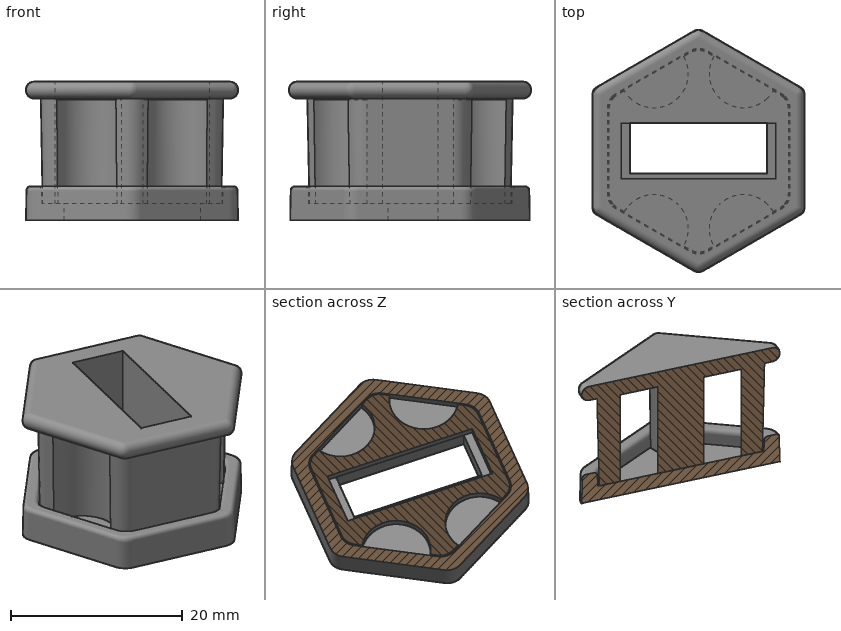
import cadquery as cq
import math

across_corners = 28.28
total_height = 16.2
sides = 6
side_angle = 360 / sides
cos_half_side = math.cos(math.pi / sides)
draft = 1.0
corner_radius = 1.98

base_height = 4.0
floor_thickness = 2.0
rim_fillet = 0.5
plug_clearance = 0.1
floor_slot_length = 15.95
floor_slot_front = -2.6

flange_thickness = 2.0
plug_across_flats = 21.3
window_length = 18.05
window_width = 6.5
scallop_radius = 4.0
scallop_angles = (60, 120, 240, 300)
scallop_top_gap = 0.15

floor_slot_back = window_width / 2
flange_edge_radius = flange_thickness / 2
corner_sphere_distance = across_corners / 2 - flange_edge_radius
across_flats = 2 * (corner_sphere_distance * cos_half_side + flange_edge_radius)
flange_bottom = total_height - flange_thickness
plug_length = flange_bottom - floor_thickness
plug_tip_across_flats = plug_across_flats - 2 * plug_length * math.tan(math.radians(draft))


def hexagon(flats, z):
    """Hexagon at height z with vertices along Y."""
    diameter = flats / cos_half_side
    return cq.Workplane("XY", origin=(0, 0, z)).transformed(rotate=(0, 0, 90)).polygon(sides, diameter)


def drafted_prism(wide_flats, wide_z, narrow_z):
    """Hexagonal prism narrowing from wide_z to narrow_z, with rounded upright corners."""
    rise = narrow_z - wide_z
    narrow_flats = wide_flats - 2 * abs(rise) * math.tan(math.radians(draft))
    narrow_diameter = narrow_flats / cos_half_side
    prism = hexagon(wide_flats, wide_z).workplane(offset=rise).polygon(sides, narrow_diameter).loft(ruled=True)
    return prism.edges("not(<Z or >Z)").fillet(corner_radius)


def make_base():
    """Hexagonal cup with a slot through its floor."""
    cup = drafted_prism(across_flats, 0, base_height)
    cavity = drafted_prism(plug_across_flats + 2 * plug_clearance, flange_bottom, floor_thickness)
    cup = cup.cut(cavity)
    cup = cup.faces(">Z").edges().fillet(rim_fillet)

    slot_width = floor_slot_back - floor_slot_front
    slot_center = (floor_slot_back + floor_slot_front) / 2
    slot = cq.Workplane("XY").center(0, slot_center).rect(floor_slot_length, slot_width)
    return cup.cut(slot.extrude(base_height))


def make_flange():
    """Hexagonal plate whose edge is fully rounded: a rod along each side, a ball at each corner."""
    core_flats = across_flats - 2 * flange_edge_radius
    flange = hexagon(core_flats, flange_bottom).extrude(flange_thickness)
    middle_z = total_height - flange_edge_radius
    for index in range(sides):
        angle = math.radians(side_angle * (index + 0.5))
        corner = cq.Vector(
            corner_sphere_distance * math.cos(angle),
            corner_sphere_distance * math.sin(angle),
            middle_z,
        )
        side_normal = angle + math.pi / sides
        along_side = cq.Vector(-math.sin(side_normal), math.cos(side_normal), 0)
        rod = cq.Solid.makeCylinder(flange_edge_radius, corner_sphere_distance, corner, along_side)
        ball = cq.Workplane("XY", origin=corner.toTuple()).sphere(flange_edge_radius)
        flange = flange.union(cq.Workplane(rod)).union(ball)
    return flange


def make_lid():
    """Round-edged flange on a drafted plug with a window and four scallops."""
    flange = make_flange()
    plug = drafted_prism(plug_across_flats, flange_bottom, floor_thickness)
    lid = flange.union(plug)

    window = cq.Workplane("XY").rect(window_length, window_width).extrude(total_height)
    lid = lid.cut(window)

    facet_distance = plug_tip_across_flats / 2
    scallop_height = plug_length - scallop_top_gap
    for angle in scallop_angles:
        x = facet_distance * math.cos(math.radians(angle))
        y = facet_distance * math.sin(math.radians(angle))
        scallop = cq.Workplane("XY", origin=(x, y, floor_thickness)).circle(scallop_radius)
        lid = lid.cut(scallop.extrude(scallop_height))
    return lid


base = make_base()
lid = make_lid()

result = cq.Compound.makeCompound([base.val(), lid.val()])